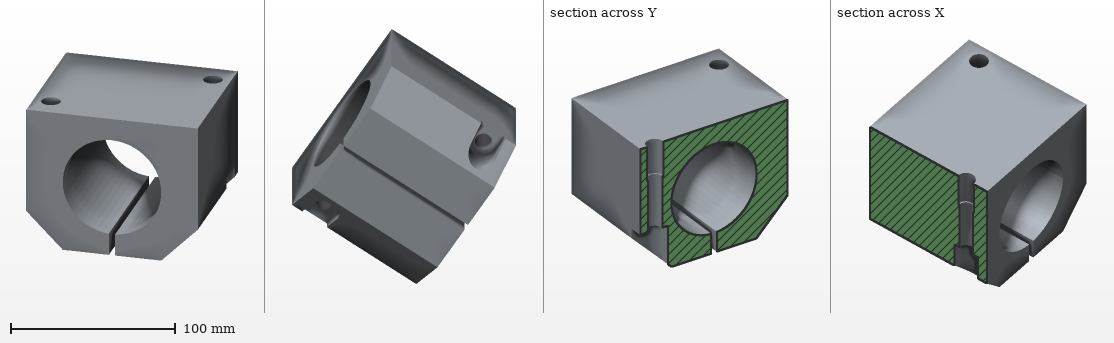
import cadquery as cq

width = 108.0
length = 91.0
height = 90.0
corner_cut = 23.0

bore_diameter = 62.0
slit_width = 4.0

hole_x = 43.0
hole_y = 29.0
thread_diameter = 12.0
thread_depth = 24.0
core_diameter = 10.3

pocket_width = 18.0
pocket_ceiling_height = 29.7

bottom = -height / 2
top = height / 2


def make_block():
    """Rectangular block with both lower long edges cut at 45 degrees."""
    block = cq.Workplane("XY").box(width, length, height)
    return block.faces("<Z").edges("|Y").chamfer(corner_cut)


def vertical_cylinder(x, y, diameter, start, depth):
    return cq.Workplane("XY", origin=(x, y, start)).circle(diameter / 2).extrude(depth)


def make_bore_and_slit():
    """Main bore with the clamping slit that opens it to the bottom face."""
    bore = cq.Workplane("XZ").circle(bore_diameter / 2).extrude(length / 2, both=True)
    slit = cq.Workplane("XY").box(slit_width, length, height / 2).translate((0, 0, bottom / 2))
    return bore.union(slit)


def make_mounting_cut(side):
    """Stepped hole and its U-shaped pocket; side is -1 or +1 along both X and Y."""
    x = side * hole_x
    y = side * hole_y
    core = vertical_cylinder(x, y, core_diameter, bottom, height)
    thread = vertical_cylinder(x, y, thread_diameter, top - thread_depth, thread_depth)
    pocket_end = vertical_cylinder(x, y, pocket_width, bottom, pocket_ceiling_height)
    run_out = width / 2 - hole_x
    channel = (
        cq.Workplane("XY", origin=(x + side * run_out / 2, y, bottom))
        .rect(run_out, pocket_width)
        .extrude(pocket_ceiling_height)
    )
    return core.union(thread).union(pocket_end.union(channel))


result = make_block().cut(make_bore_and_slit())
for side in (-1, 1):
    result = result.cut(make_mounting_cut(side))